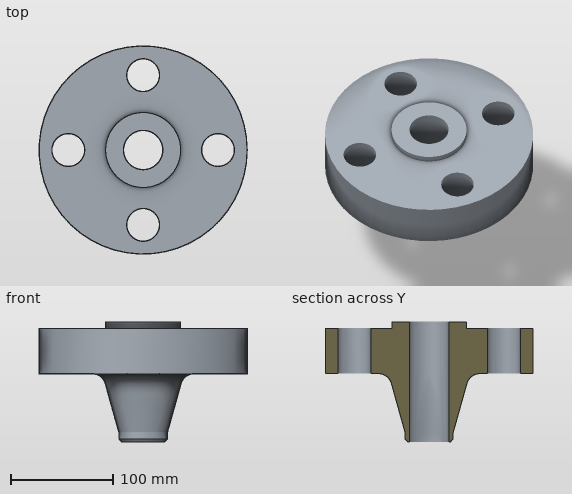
import cadquery as cq
import math

flange_diameter = 203.2
flange_thickness = 44.45
raised_face_diameter = 73.2
raised_face_height = 6.35
overall_height = 117.47

bore_diameter = 38.1
bolt_circle_diameter = 146.05
bolt_hole_diameter = 31.75
bolt_count = 4

hub_base_diameter = 79.4
neck_diameter = 47.4
neck_length = 9.5
bevel_height = 3.2
weld_land = 1.6
hub_fillet_radius = 12.7

top_z = flange_thickness + raised_face_height
bottom_z = top_z - overall_height
taper_end_z = bottom_z + neck_length


def make_body():
    """Revolve the half profile of flange, raised face and tapered hub."""
    flange_r = flange_diameter / 2
    face_r = raised_face_diameter / 2
    base_r = hub_base_diameter / 2
    neck_r = neck_diameter / 2
    weld_r = bore_diameter / 2 + weld_land

    taper_angle = math.atan2(base_r - neck_r, -taper_end_z)
    tangent_length = hub_fillet_radius * math.tan((math.pi / 2 - taper_angle) / 2)
    arc_center_r = base_r + tangent_length
    arc_end_r = base_r - tangent_length * math.sin(taper_angle)
    arc_end_z = -tangent_length * math.cos(taper_angle)
    mid_angle = (math.pi / 2 + math.pi - taper_angle) / 2
    arc_mid_r = arc_center_r + hub_fillet_radius * math.cos(mid_angle)
    arc_mid_z = hub_fillet_radius * (math.sin(mid_angle) - 1)

    profile = (
        cq.Workplane("XZ")
        .moveTo(0, top_z)
        .lineTo(face_r, top_z)
        .lineTo(face_r, flange_thickness)
        .lineTo(flange_r, flange_thickness)
        .lineTo(flange_r, 0)
        .lineTo(arc_center_r, 0)
        .threePointArc((arc_mid_r, arc_mid_z), (arc_end_r, arc_end_z))
        .lineTo(neck_r, taper_end_z)
        .lineTo(neck_r, bottom_z + bevel_height)
        .lineTo(weld_r, bottom_z)
        .lineTo(0, bottom_z)
        .close()
    )
    return profile.revolve(360, (0, 0, 0), (0, 1, 0))


def make_bore():
    """Through bore along the axis."""
    return (
        cq.Workplane("XY")
        .workplane(offset=bottom_z)
        .circle(bore_diameter / 2)
        .extrude(overall_height)
    )


def make_bolt_holes():
    """Bolt holes through the flange, the first one on the +X axis."""
    return (
        cq.Workplane("XY")
        .polarArray(bolt_circle_diameter / 2, 0, 360, bolt_count)
        .circle(bolt_hole_diameter / 2)
        .extrude(flange_thickness)
    )


result = make_body().cut(make_bore()).cut(make_bolt_holes())